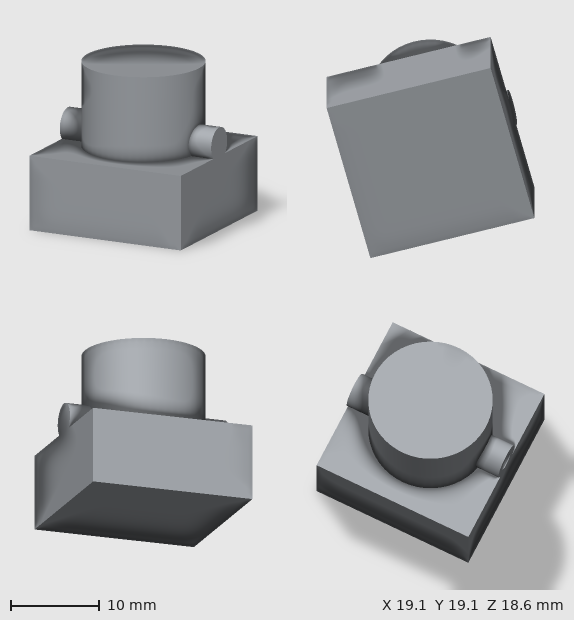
import cadquery as cq

base_side = 19.1
base_height = 8.7

body_diameter = 14.0
body_height = 9.91

port_diameter = 4.0
port_axis_above_base = 1.34
port_axis_z = base_height + port_axis_above_base

bore_diameter = 2.0
bore_end_radius = 6.3


def cylinder_along_x(diameter, length):
    """Cylinder on the port axis, running toward +X from the -X face."""
    return (
        cq.Workplane("YZ", origin=(-base_side / 2, 0, port_axis_z))
        .circle(diameter / 2)
        .extrude(length)
    )


def blind_bore():
    """Straight bore to the body centre, continued up to the curved end wall."""
    end_limit = (
        cq.Workplane("XZ", origin=(0, 0, port_axis_z))
        .circle(bore_end_radius)
        .extrude(bore_diameter, both=True)
    )
    curved_end = cylinder_along_x(bore_diameter, base_side).intersect(end_limit)
    return cylinder_along_x(bore_diameter, base_side / 2).union(curved_end)


base = cq.Workplane("XY").rect(base_side, base_side).extrude(base_height)
body = (
    cq.Workplane("XY", origin=(0, 0, base_height))
    .circle(body_diameter / 2)
    .extrude(body_height)
)
ports = cylinder_along_x(port_diameter, base_side)

result = base.union(body).union(ports).cut(blind_bore())